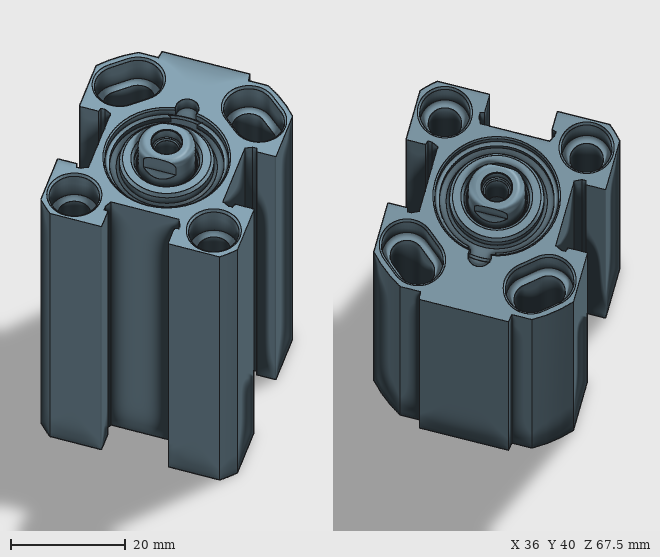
import cadquery as cq
import math


total_height = 67.5
rod_projection = 4.45
housing_height = total_height - rod_projection

width = 36.0
depth_with_pad = 40.0
half_width = width / 2
upper_shoulder = 20.6
port_pad_y = depth_with_pad - half_width
port_pad_half_top = 8.0
port_pad_half_foot = 8.25
corner_radius = 23.75

slot_half_width = 6.1
slot_floor = 12.3
slot_floor_half = 6.2
undercut_half = 6.8
undercut_outer = 14.25
undercut_inner = 13.5
lip_distance = 14.45
lip_fillet = 0.2

hole_offset = 12.75
hole_diameter = 5.8
counterbore_diameter = 8.8
counterbore_depth = 5.55
counterbore_chamfer = 0.4
slotted_hole_stretch = 3.45
slotted_hole_angle = 139.3

mouth_diameter = 21.6
mouth_chamfer = 0.305
ring_groove_diameter = 22.8
ring_depth = 1.6
ring_thickness = 1.0
ring_inner_diameter = 20.0
ring_gap_half_width = 2.35
notch_radius = 2.0
notch_y = 11.5
notch_depth = 2.5

flange_height = 10.1
boss_depth = 0.3
boss_diameter = 16.5
boss_foot_diameter = 17.6
boss_foot_height = 0.3
boss_chamfer = 0.55
wiper_recess_diameter = 11.4
wiper_recess_depth = 1.35
wiper_recess_chamfer = 0.55
rod_clearance_diameter = 10.45
rod_clearance_depth = 2.35
rod_clearance_chamfer = 0.15

rod_diameter = 10.0
rod_fillet = 1.4
across_flats = 8.0
flat_bottom_depth = 3.3
socket_diameter = 5.25
socket_depth = 2.0
socket_chamfer = 0.15
thread_hole_diameter = 4.1
thread_hole_depth = 10.1
thread_hole_chamfer = 0.3
drill_tip_angle = 118.0

ring_top = housing_height - ring_depth
ring_bottom = ring_top - ring_thickness
flange_top = ring_bottom
flange_bottom = flange_top - flange_height
boss_top = housing_height - boss_depth


def disc(diameter, bottom, top):
    """Solid cylinder on the Z axis between two heights."""
    return cq.Workplane("XY").workplane(offset=bottom).circle(diameter / 2).extrude(top - bottom)


def cone(bottom_diameter, top_diameter, bottom, top):
    """Solid cone frustum on the Z axis between two heights."""
    solid = cq.Solid.makeCone(bottom_diameter / 2, top_diameter / 2, top - bottom, cq.Vector(0, 0, bottom))
    return cq.Workplane(solid)


def sensor_slot():
    """Cutter for the undercut slot in the -Y face, full height of the housing."""
    mouth_half = slot_half_width + lip_fillet
    arc_inset = lip_fillet * (1 - math.sqrt(0.5))
    lip_arc_middle = (slot_half_width + arc_inset, arc_inset - half_width)
    right_wall = [
        (slot_half_width, lip_fillet - half_width),
        (slot_half_width, -lip_distance),
        (undercut_half, -undercut_outer),
        (undercut_half, -undercut_inner),
        (slot_floor_half, -slot_floor),
    ]
    left_wall = [(-x, y) for x, y in reversed(right_wall)]
    return (
        cq.Workplane("XY")
        .moveTo(mouth_half, -half_width)
        .threePointArc(lip_arc_middle, right_wall[0])
        .polyline(right_wall[1:] + left_wall, includeCurrent=True)
        .threePointArc((-lip_arc_middle[0], lip_arc_middle[1]), (-mouth_half, -half_width))
        .close().extrude(housing_height)
    )


def slotted_hole():
    """Cutter for the stretched counterbored hole at +X +Y."""
    angle = math.radians(slotted_hole_angle)
    centre_x = hole_offset + slotted_hole_stretch / 2 * math.cos(angle)
    centre_y = hole_offset + slotted_hole_stretch / 2 * math.sin(angle)
    top_plane = cq.Workplane("XY", origin=(centre_x, centre_y, housing_height))

    def slot(width):
        return top_plane.slot2D(slotted_hole_stretch + width, width, slotted_hole_angle)

    rim = slot(counterbore_diameter + 2 * counterbore_chamfer).extrude(-counterbore_chamfer, taper=45)
    counterbore = slot(counterbore_diameter).extrude(-counterbore_depth)
    return slot(hole_diameter).extrude(-housing_height).union(counterbore).union(rim)


def round_hole():
    """Cutter for a round counterbored hole, on the Z axis."""
    rim_diameter = counterbore_diameter + 2 * counterbore_chamfer
    return (
        disc(hole_diameter, 0, housing_height)
        .union(disc(counterbore_diameter, housing_height - counterbore_depth, housing_height))
        .union(cone(counterbore_diameter, rim_diameter, housing_height - counterbore_chamfer, housing_height))
    )


def make_housing():
    outline = [
        (half_width, -half_width),
        (half_width, upper_shoulder),
        (port_pad_half_foot, upper_shoulder),
        (port_pad_half_top, port_pad_y),
    ]
    outline += [(-x, y) for x, y in reversed(outline)]
    body = cq.Workplane("XY").polyline(outline).close().extrude(housing_height)
    body = body.intersect(disc(2 * corner_radius, 0, housing_height))

    for angle in (-90, 0, 90):
        body = body.cut(sensor_slot().rotate((0, 0, 0), (0, 0, 1), angle))

    for side in (-1, 1):
        body = body.cut(round_hole().translate((side * hole_offset, -hole_offset, 0)))
    slotted = slotted_hole()
    body = body.cut(slotted).cut(slotted.mirror("YZ"))

    mouth_rim = mouth_diameter + 2 * mouth_chamfer
    body = body.cut(disc(mouth_diameter, flange_bottom, housing_height))
    body = body.cut(cone(mouth_diameter, mouth_rim, housing_height - mouth_chamfer, housing_height))
    body = body.cut(disc(ring_groove_diameter, ring_bottom, ring_top))
    notch = disc(2 * notch_radius, housing_height - notch_depth, housing_height).translate((0, notch_y, 0))
    return body.cut(notch)


def make_retaining_ring():
    """Open ring in the groove, with its gap towards +Y."""
    ring = disc(ring_groove_diameter, ring_bottom, ring_top).cut(disc(ring_inner_diameter, ring_bottom, ring_top))
    inner_y = math.sqrt((ring_inner_diameter / 2) ** 2 - ring_gap_half_width ** 2)
    outer_y = ring_groove_diameter / 2
    apex_y = inner_y - ring_gap_half_width
    outer_half_width = outer_y - apex_y
    gap = (
        cq.Workplane("XY").workplane(offset=ring_bottom)
        .polyline([(0, apex_y), (outer_half_width, outer_y), (-outer_half_width, outer_y)])
        .close().extrude(ring_thickness)
    )
    return ring.cut(gap)


def make_collar():
    """Rod cover held under the retaining ring, with a raised boss around the rod."""
    boss = disc(boss_diameter, flange_top, boss_top).faces(">Z").edges().chamfer(boss_chamfer)
    foot = cone(boss_foot_diameter, boss_diameter, flange_top, flange_top + boss_foot_height)
    body = disc(mouth_diameter, flange_bottom, flange_top).union(boss).union(foot)
    recess_rim = wiper_recess_diameter + 2 * wiper_recess_chamfer
    clearance_rim = rod_clearance_diameter + 2 * rod_clearance_chamfer
    recess_floor = boss_top - wiper_recess_depth
    return (
        body
        .cut(disc(rod_diameter, flange_bottom, boss_top))
        .cut(disc(rod_clearance_diameter, boss_top - rod_clearance_depth, boss_top))
        .cut(cone(rod_clearance_diameter, clearance_rim, recess_floor - rod_clearance_chamfer, recess_floor))
        .cut(disc(wiper_recess_diameter, recess_floor, boss_top))
        .cut(cone(wiper_recess_diameter, recess_rim, boss_top - wiper_recess_chamfer, boss_top))
    )


def make_rod():
    """Piston rod with wrench flats and a stepped blind hole in its end."""
    rod = disc(rod_diameter, flange_bottom, total_height).faces(">Z").edges().fillet(rod_fillet)

    flat_bottom = total_height - flat_bottom_depth
    flat_distance = across_flats / 2
    flat_cut = rod_diameter / 2 - flat_distance
    flat = (
        cq.Workplane("YZ")
        .polyline([
            (flat_distance, total_height),
            (flat_distance, flat_bottom),
            (flat_distance + flat_cut, flat_bottom - flat_cut),
            (flat_distance + flat_cut, total_height),
        ])
        .close().extrude(rod_diameter / 2, both=True)
    )
    rod = rod.cut(flat).cut(flat.mirror("XZ"))

    hole_bottom = total_height - thread_hole_depth
    tip_height = thread_hole_diameter / 2 / math.tan(math.radians(drill_tip_angle / 2))
    socket_floor = total_height - socket_depth
    socket_rim = socket_diameter + 2 * socket_chamfer
    thread_rim = thread_hole_diameter + 2 * thread_hole_chamfer
    return (
        rod
        .cut(disc(socket_diameter, socket_floor, total_height))
        .cut(cone(socket_diameter, socket_rim, total_height - socket_chamfer, total_height))
        .cut(cone(thread_hole_diameter, thread_rim, socket_floor - thread_hole_chamfer, socket_floor))
        .cut(disc(thread_hole_diameter, hole_bottom, total_height))
        .cut(cone(0, thread_hole_diameter, hole_bottom - tip_height, hole_bottom))
    )


housing = make_housing()
retaining_ring = make_retaining_ring()
collar = make_collar()
rod = make_rod()

result = cq.Compound.makeCompound([housing.val(), retaining_ring.val(), collar.val(), rod.val()])